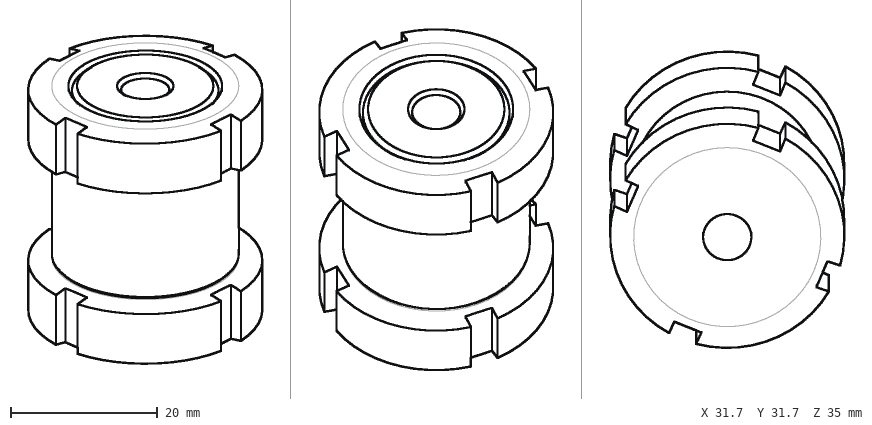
import cadquery as cq
import math

HEIGHT = 35.0
Z_BOTTOM = -HEIGHT / 2
Z_TOP = HEIGHT / 2

COLLAR_RADIUS = 16.0
COLLAR_FACE_RADIUS = 12.78
COLLAR_HEIGHT = 8.8
BEVEL_ANGLE = 10.0
BEVEL_DROP = (COLLAR_RADIUS - COLLAR_FACE_RADIUS) * math.tan(math.radians(BEVEL_ANGLE))
SLOT_COUNT = 4
SLOT_WIDTH = 4.0
SLOT_FLOOR_RADIUS = 14.0

SLEEVE_RADIUS = COLLAR_FACE_RADIUS
SLEEVE_CHAMFER = 0.4
Z_SEAT = Z_BOTTOM + COLLAR_HEIGHT

STUD_RADIUS = 10.0
STUD_CHAMFER = 0.7
BORE_RADIUS = 10.5

HOLE_RADIUS = 3.3
HOLE_CHAMFER = 0.55


def cylinder(radius, z_low, z_high):
    """Solid cylinder on the Z axis between two heights."""
    return cq.Workplane("XY").workplane(offset=z_low).circle(radius).extrude(z_high - z_low)


def slotted_collar(z_low):
    """Disc with shallow conical bevels on both rims and wrench slots through its edge."""
    z_high = z_low + COLLAR_HEIGHT
    profile = [
        (0, z_low),
        (COLLAR_FACE_RADIUS, z_low),
        (COLLAR_RADIUS, z_low + BEVEL_DROP),
        (COLLAR_RADIUS, z_high - BEVEL_DROP),
        (COLLAR_FACE_RADIUS, z_high),
        (0, z_high),
    ]
    collar = cq.Workplane("XZ").polyline(profile).close().revolve(360, (0, 0), (0, 1))
    slot_length = COLLAR_RADIUS - SLOT_FLOOR_RADIUS
    slots = (
        cq.Workplane("XY")
        .workplane(offset=z_low)
        .polarArray(SLOT_FLOOR_RADIUS + slot_length / 2, 0, 360, SLOT_COUNT)
        .rect(slot_length, SLOT_WIDTH)
        .extrude(COLLAR_HEIGHT)
    )
    return collar.cut(slots)


def collared_stud():
    """Lower collar with the chamfered stud rising from it and a hole chamfered at the top."""
    stud = cylinder(STUD_RADIUS, Z_BOTTOM, Z_TOP).faces(">Z").chamfer(STUD_CHAMFER)
    body = slotted_collar(Z_BOTTOM).union(stud)
    body = body.cut(cylinder(HOLE_RADIUS, Z_BOTTOM, Z_TOP))
    hole_rim = cq.selectors.RadiusNthSelector(0)
    return body.faces(">Z").edges(hole_rim).chamfer(HOLE_CHAMFER)


def collared_sleeve():
    """Upper collar on a sleeve, bored right through to clear the stud."""
    sleeve = cylinder(SLEEVE_RADIUS, Z_SEAT, Z_TOP).faces("<Z").chamfer(SLEEVE_CHAMFER)
    body = slotted_collar(Z_TOP - COLLAR_HEIGHT).union(sleeve)
    return body.cut(cylinder(BORE_RADIUS, Z_SEAT, Z_TOP))


stud_body = collared_stud()
sleeve_body = collared_sleeve()

result = cq.Compound.makeCompound([stud_body.val(), sleeve_body.val()])